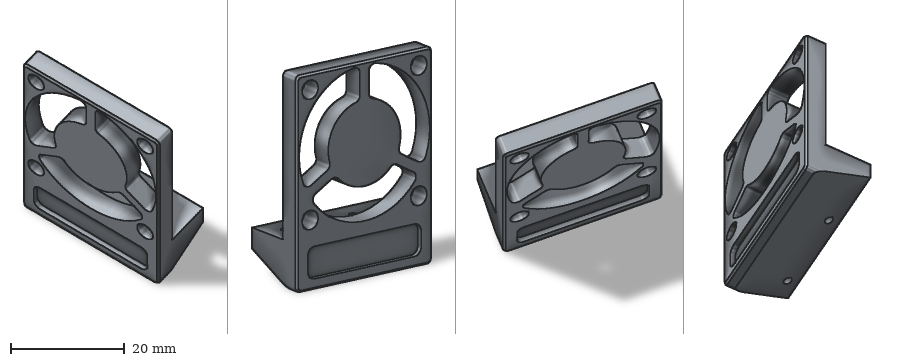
import cadquery as cq
import math

width = 30.0
height = 40.0
plate_thickness = 4.0
corner_radius = 1.0
front_chamfer = 0.4

total_depth = 13.0
ledge_top = 9.0
slope_start = 2.0
slope_angle = 25.0
slope_rise = (total_depth - slope_start) * math.tan(math.radians(slope_angle))

fan_center_z = height - width / 2
opening_radius = 14.4
hub_radius = 8.0
spoke_width = 2.0
spoke_count = 3
window_corner_radius = 1.2

fan_hole_spacing = 24.0
fan_hole_diameter = 3.5

pocket_width = 25.0
pocket_height = 6.0
pocket_bottom = 2.0
pocket_corner_radius = 1.5
pocket_depth = 1.0

ledge_hole_diameter = 1.6
ledge_hole_x = (-11.0, 4.0)
ledge_hole_y = 8.45


def front_plane(z):
    """XZ sketch plane on the front face; extruding by a negative length goes into the part."""
    return cq.Workplane("XZ", origin=(0, 0, z))


def make_body():
    """L-shaped side profile trimmed by a block with rounded corners and a chamfered front."""
    block = (
        front_plane(height / 2)
        .rect(width, height)
        .extrude(-total_depth)
        .edges("|Y")
        .fillet(corner_radius)
        .faces("<Y")
        .chamfer(front_chamfer)
    )
    side_profile = (
        cq.Workplane("YZ")
        .moveTo(0, 0)
        .lineTo(slope_start, 0)
        .lineTo(total_depth, slope_rise)
        .lineTo(total_depth, ledge_top)
        .lineTo(plate_thickness, ledge_top)
        .lineTo(plate_thickness, height)
        .lineTo(0, height)
        .close()
        .extrude(width / 2, both=True)
    )
    return block.intersect(side_profile)


def make_fan_windows():
    """Ring around the hub, split by the spokes into windows with rounded corners."""
    ring = front_plane(fan_center_z).circle(opening_radius).circle(hub_radius).extrude(-plate_thickness)
    upright_spoke = (
        front_plane(fan_center_z)
        .rect(spoke_width, opening_radius + spoke_width, centered=(True, False))
        .extrude(-plate_thickness)
    )
    axis_start = (0, 0, fan_center_z)
    axis_end = (0, 1, fan_center_z)
    for index in range(spoke_count):
        ring = ring.cut(upright_spoke.rotate(axis_start, axis_end, index * 360 / spoke_count))
    return ring.edges("|Y").fillet(window_corner_radius)


def make_fan_holes():
    """Four plain through holes around the fan opening."""
    return (
        front_plane(fan_center_z)
        .rect(fan_hole_spacing, fan_hole_spacing, forConstruction=True)
        .vertices()
        .circle(fan_hole_diameter / 2)
        .extrude(-plate_thickness)
    )


def make_label_pocket():
    """Rounded rectangular recess in the front face."""
    return (
        front_plane(pocket_bottom + pocket_height / 2)
        .rect(pocket_width, pocket_height)
        .extrude(-pocket_depth)
        .edges("|Y")
        .fillet(pocket_corner_radius)
    )


def make_ledge_hole(x):
    """Through hole that runs down and back, square to the sloped underside."""
    angle = math.radians(slope_angle)
    axis = cq.Vector(0, math.sin(angle), -math.cos(angle))
    entry = cq.Vector(x, ledge_hole_y, ledge_top)
    start = entry - axis * ledge_hole_diameter
    length = ledge_top + ledge_hole_diameter
    return cq.Workplane(cq.Solid.makeCylinder(ledge_hole_diameter / 2, length, start, axis))


result = make_body().cut(make_fan_windows()).cut(make_fan_holes()).cut(make_label_pocket())
for hole_x in ledge_hole_x:
    result = result.cut(make_ledge_hole(hole_x))